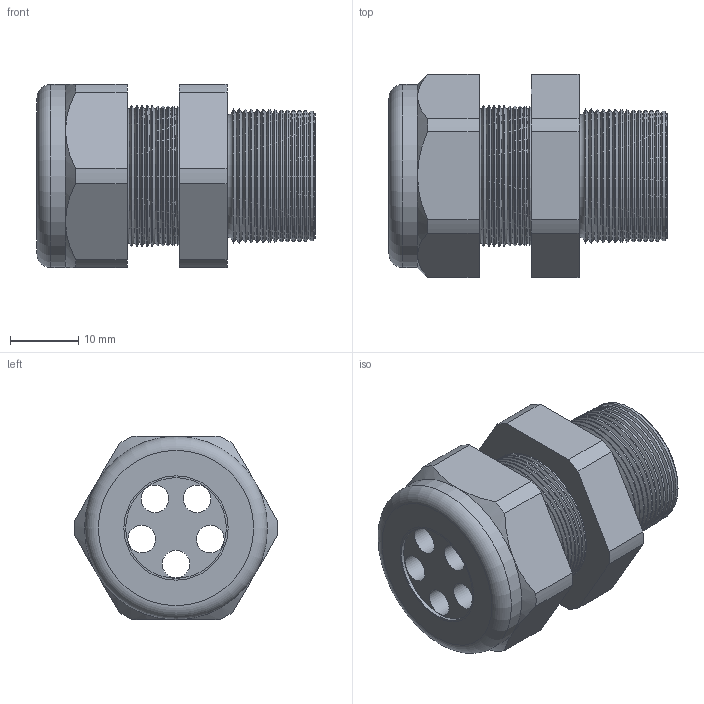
import cadquery as cq
import math

LENGTH = 40.89
CAP_END = 13.26
MIDDLE_HEX_START = 20.9
MIDDLE_HEX_END = 27.95

HEX_SIDES = 6
ACROSS_FLATS = 26.92
ACROSS_CORNERS = 29.88
CAP_HEX_START = 4.19
CAP_EDGE_RADIUS = 2.04

HALF_THREAD_ANGLE = math.radians(30)
CREST_TAPER = 1 / 32
CAP_THREAD_PITCH = 0.7646
CAP_THREAD_ROOT_RADIUS = 9.77
CAP_THREAD_FIRST_ROOT = 13.54
CAP_THREAD_ROOTS = 11
ENTRY_THREAD_PITCH = 0.887
ENTRY_THREAD_ROOT_RADIUS = 9.13
ENTRY_THREAD_FIRST_ROOT = 29.3
ENTRY_THREAD_ROOTS = 14

INSERT_RADIUS = 7.66
INSERT_LENGTH = CAP_END
INSERT_RIM = 0.26
INSERT_RECESS_DEPTH = 0.5
CABLE_HOLES = 5
CABLE_HOLE_DIAMETER = 4.07
CABLE_HOLE_CIRCLE_RADIUS = 5.3


def section(x):
    """Plane across the gland at x, with its first axis pointing down."""
    return cq.Workplane(cq.Plane(origin=(x, 0, 0), xDir=(0, 0, -1), normal=(1, 0, 0)))


def cylinder(start, end, radius):
    return section(start).circle(radius).extrude(end - start)


def turned(profile):
    """Revolve a closed profile, drawn as (x, radius), about the X axis."""
    return profile.close().revolve(360, (0, 0, 0), (1, 0, 0))


def hexagon(start, end):
    """Hexagonal prism with its corners turned down to a circle."""
    corner_to_corner = ACROSS_FLATS / math.cos(math.pi / HEX_SIDES)
    prism = (
        section(start)
        .transformed(rotate=(0, 0, 90))
        .polygon(HEX_SIDES, corner_to_corner)
        .extrude(end - start)
    )
    return prism.intersect(cylinder(start, end, ACROSS_CORNERS / 2))


def make_cap():
    body_radius = ACROSS_FLATS / 2
    corner_radius = ACROSS_CORNERS / 2
    round_front = cylinder(0, CAP_HEX_START, body_radius).faces("<X").edges().fillet(CAP_EDGE_RADIUS)

    chamfer_envelope = turned(
        cq.Workplane("XY")
        .moveTo(CAP_HEX_START, 0)
        .lineTo(CAP_HEX_START, body_radius)
        .lineTo(CAP_HEX_START + corner_radius - body_radius, corner_radius)
        .lineTo(CAP_END, corner_radius)
        .lineTo(CAP_END, 0)
    )
    return round_front.union(hexagon(CAP_HEX_START, CAP_END).intersect(chamfer_envelope))


def make_thread(pitch, root_radius, first_root, root_count, end):
    """Ring thread from the sharp crest before its first root as far as end."""
    flank_slope = 1 / math.tan(HALF_THREAD_ANGLE)
    start = first_root - pitch / 2
    start_crest_radius = root_radius + pitch / 2 * flank_slope

    def crest_radius(x):
        return start_crest_radius - CREST_TAPER * (x - start)

    profile = cq.Workplane("XY").moveTo(start, 0).lineTo(start, start_crest_radius)
    for i in range(root_count):
        root = first_root + i * pitch
        depth = crest_radius(root) - root_radius
        groove_start = root - depth / (flank_slope - CREST_TAPER)
        groove_end = root + depth / (flank_slope + CREST_TAPER)
        if i > 0:
            profile = profile.lineTo(groove_start, crest_radius(groove_start))
        profile = profile.lineTo(root, root_radius)
        profile = profile.lineTo(groove_end, crest_radius(groove_end))

    last_crest = first_root + (root_count - 0.5) * pitch
    profile = profile.lineTo(last_crest, crest_radius(last_crest)).lineTo(last_crest, 0)
    return turned(profile).intersect(cylinder(start, end, start_crest_radius + pitch))


def make_neck():
    """Neck that sweeps up in a hollow quarter round to the first crest of the entry thread."""
    end = ENTRY_THREAD_FIRST_ROOT - ENTRY_THREAD_PITCH / 2
    end_radius = ENTRY_THREAD_ROOT_RADIUS + ENTRY_THREAD_PITCH / 2 / math.tan(HALF_THREAD_ANGLE)
    sweep_radius = end - MIDDLE_HEX_END
    return turned(
        cq.Workplane("XY")
        .moveTo(MIDDLE_HEX_END, 0)
        .lineTo(MIDDLE_HEX_END, end_radius - sweep_radius)
        .radiusArc((end, end_radius), -sweep_radius)
        .lineTo(end, 0)
    )


def make_gland():
    """Cap, threads, neck and middle hexagon as one body, bored through for the insert."""
    cap_thread = make_thread(
        CAP_THREAD_PITCH,
        CAP_THREAD_ROOT_RADIUS,
        CAP_THREAD_FIRST_ROOT,
        CAP_THREAD_ROOTS,
        MIDDLE_HEX_START,
    )
    entry_thread = make_thread(
        ENTRY_THREAD_PITCH,
        ENTRY_THREAD_ROOT_RADIUS,
        ENTRY_THREAD_FIRST_ROOT,
        ENTRY_THREAD_ROOTS,
        LENGTH,
    )
    return (
        make_cap()
        .union(cap_thread)
        .union(hexagon(MIDDLE_HEX_START, MIDDLE_HEX_END))
        .union(make_neck())
        .union(entry_thread)
        .cut(cylinder(0, LENGTH, INSERT_RADIUS))
    )


def make_insert():
    """Sealing plug with a shallow front recess and a ring of cable holes through it."""
    recess = cylinder(0, INSERT_RECESS_DEPTH, INSERT_RADIUS - INSERT_RIM)
    cable_holes = (
        section(0)
        .polarArray(CABLE_HOLE_CIRCLE_RADIUS, 0, 360, CABLE_HOLES)
        .circle(CABLE_HOLE_DIAMETER / 2)
        .extrude(INSERT_LENGTH)
    )
    return cylinder(0, INSERT_LENGTH, INSERT_RADIUS).cut(recess).cut(cable_holes)


gland = make_gland()
insert = make_insert()
result = cq.Compound.makeCompound([gland.solids().val(), insert.solids().val()])